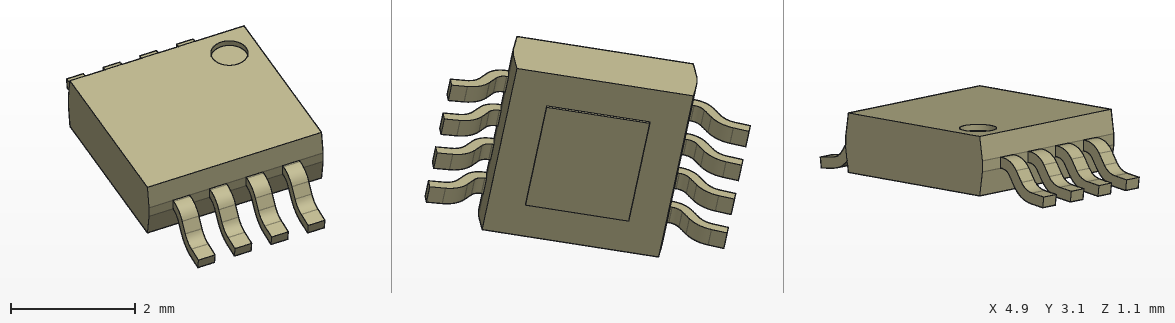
import cadquery as cq
import math

overall_span = 4.9
overall_height = 1.1

housing_width = 3.0
housing_length = 3.1
housing_height = 0.975
draft_inset = 0.06
housing_bottom = overall_height - housing_height
waist_rise = 0.005
waist_z = housing_bottom + housing_height / 2 + waist_rise

dimple_radius = 0.3
dimple_depth = 0.1
dimple_margin = 0.5

pad_width = 1.685
pad_length = 1.88
pad_thickness = 0.045

leads_per_side = 4
lead_pitch = 0.65
lead_width = 0.3
lead_thickness = 0.18
shoulder_length = 0.03
shoulder_bend_radius = 0.29
foot_bend_radius = 0.41
slope_angle = math.radians(57)
foot_angle = math.radians(7)


def make_housing():
    """Block with a vertical waist band as tall as the leads are thick, drafted above and below it."""
    half_waist = housing_width / 2
    half_top = half_waist - draft_inset
    band_bottom = waist_z - lead_thickness / 2
    band_top = waist_z + lead_thickness / 2
    block = (
        cq.Workplane("XZ")
        .moveTo(-half_top, housing_bottom)
        .lineTo(half_top, housing_bottom)
        .lineTo(half_waist, band_bottom)
        .lineTo(half_waist, band_top)
        .lineTo(half_top, overall_height)
        .lineTo(-half_top, overall_height)
        .lineTo(-half_waist, band_top)
        .lineTo(-half_waist, band_bottom)
        .close()
        .extrude(housing_length / 2, both=True)
    )
    dimple = (
        cq.Workplane("XY", origin=(0, 0, overall_height - dimple_depth))
        .center(dimple_margin - half_top, housing_length / 2 - dimple_margin)
        .circle(dimple_radius)
        .extrude(dimple_depth)
    )
    return block.cut(dimple)


def make_thermal_pad():
    """Flat pad lying against the underside of the housing."""
    return (
        cq.Workplane("XY", origin=(0, 0, housing_bottom - pad_thickness))
        .rect(pad_width, pad_length)
        .extrude(pad_thickness)
    )


def make_lead(y_center):
    """Gull-wing lead on the +X side: a flat strip swept along its bent middle line."""
    half_thickness = lead_thickness / 2
    start_x = housing_width / 2

    tip_x = overall_span / 2 - half_thickness * math.sin(foot_angle)
    tip_z = half_thickness * math.cos(foot_angle)

    shoulder_end_x = start_x + shoulder_length
    slope_top_x = shoulder_end_x + shoulder_bend_radius * math.sin(slope_angle)
    slope_top_z = waist_z - shoulder_bend_radius * (1 - math.cos(slope_angle))

    bend_run = foot_bend_radius * (math.sin(slope_angle) - math.sin(foot_angle))
    bend_drop = foot_bend_radius * (math.cos(foot_angle) - math.cos(slope_angle))

    run_left = tip_x - slope_top_x - bend_run
    drop_left = slope_top_z - tip_z - bend_drop
    slope_length = (
        drop_left * math.cos(foot_angle) - run_left * math.sin(foot_angle)
    ) / math.sin(slope_angle - foot_angle)
    slope_bottom_x = slope_top_x + slope_length * math.cos(slope_angle)
    slope_bottom_z = slope_top_z - slope_length * math.sin(slope_angle)

    middle_line = (
        cq.Workplane("XZ", origin=(0, y_center, 0))
        .moveTo(start_x, waist_z)
        .lineTo(shoulder_end_x, waist_z)
        .tangentArcPoint((slope_top_x, slope_top_z), relative=False)
        .lineTo(slope_bottom_x, slope_bottom_z)
        .tangentArcPoint((slope_bottom_x + bend_run, slope_bottom_z - bend_drop), relative=False)
        .lineTo(tip_x, tip_z)
    )
    return (
        cq.Workplane("YZ", origin=(start_x, y_center, waist_z))
        .rect(lead_width, lead_thickness)
        .sweep(middle_line)
    )


housing = make_housing()
thermal_pad = make_thermal_pad()

leads = []
for index in range(leads_per_side):
    lead_y = (index - (leads_per_side - 1) / 2) * lead_pitch
    right_lead = make_lead(lead_y)
    left_lead = right_lead.mirror("YZ")
    leads.append(right_lead.val())
    leads.append(left_lead.val())

result = cq.Compound.makeCompound([housing.val(), thermal_pad.val(), *leads])